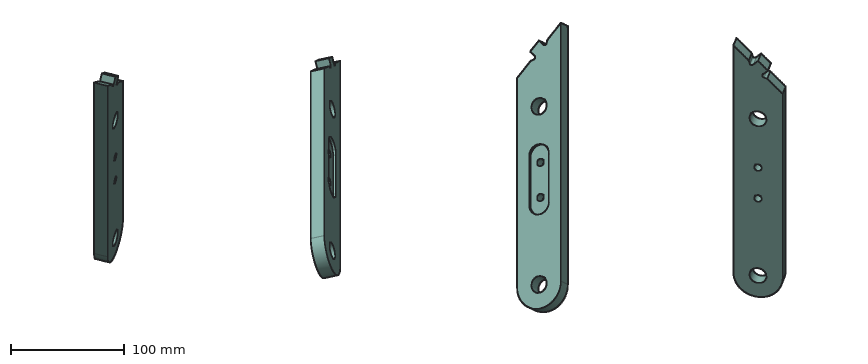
import cadquery as cq
import math

LENGTH = 257.8
WIDTH = 44.3
THICKNESS = 12.6
END_RADIUS = WIDTH / 2

MOUNT_DIAMETER = 15.2
MOUNT_SPACING = 162.5

POCKET_LENGTH = 64.2
POCKET_WIDTH = 19.9
POCKET_DEPTH = 2.5
POCKET_Z = 118.0
PIN_DIAMETER = 6.7
PIN_SPACING = 32.0

TANG_WIDTH = 12.6
TANG_HEIGHT = 6.5
UNDERCUT_RADIUS = 1.8
RAMP_ANGLE = math.radians(30)

EDGE_ANGLE = math.radians(45)
SHOULDER_Z = LENGTH - WIDTH * math.tan(EDGE_ANGLE)
EDGE_MIDDLE_Z = (LENGTH + SHOULDER_Z) / 2


def edge_point(along, out):
    """(Y, Z) at a distance along the sloped edge (uphill, toward -Y) and outward from it."""
    cosine = math.cos(EDGE_ANGLE)
    sine = math.sin(EDGE_ANGLE)
    return (-along * cosine + out * sine, EDGE_MIDDLE_Z + along * sine + out * cosine)


def make_plate():
    """Plate outline in the YZ plane, including the tang and its undercuts."""
    tang_side = TANG_WIDTH / 2
    root_centre = tang_side + UNDERCUT_RADIUS
    ramp_start = root_centre + UNDERCUT_RADIUS * math.sin(RAMP_ANGLE)
    ramp_start_out = -UNDERCUT_RADIUS * math.cos(RAMP_ANGLE)
    ramp_end = root_centre + UNDERCUT_RADIUS / math.sin(RAMP_ANGLE)
    return (
        cq.Workplane("YZ")
        .moveTo(-WIDTH / 2, END_RADIUS)
        .lineTo(-WIDTH / 2, LENGTH)
        .lineTo(*edge_point(ramp_end, 0))
        .lineTo(*edge_point(ramp_start, ramp_start_out))
        .threePointArc(edge_point(root_centre, -UNDERCUT_RADIUS), edge_point(tang_side, 0))
        .lineTo(*edge_point(tang_side, TANG_HEIGHT))
        .lineTo(*edge_point(-tang_side, TANG_HEIGHT))
        .lineTo(*edge_point(-tang_side, 0))
        .threePointArc(edge_point(-root_centre, -UNDERCUT_RADIUS), edge_point(-ramp_start, ramp_start_out))
        .lineTo(*edge_point(-ramp_end, 0))
        .lineTo(WIDTH / 2, SHOULDER_Z)
        .lineTo(WIDTH / 2, END_RADIUS)
        .threePointArc((0, 0), (-WIDTH / 2, END_RADIUS))
        .close()
        .extrude(THICKNESS)
    )


def make_holes(diameter, heights):
    """Cylinders through the thickness, on the plate centreline."""
    centres = [(0, z) for z in heights]
    return cq.Workplane("YZ").pushPoints(centres).circle(diameter / 2).extrude(THICKNESS)


def make_pocket():
    return (
        cq.Workplane("YZ")
        .center(0, POCKET_Z)
        .slot2D(POCKET_LENGTH, POCKET_WIDTH, 90)
        .extrude(POCKET_DEPTH)
    )


mount_heights = [END_RADIUS, END_RADIUS + MOUNT_SPACING]
pin_heights = [POCKET_Z - PIN_SPACING / 2, POCKET_Z + PIN_SPACING / 2]

result = (
    make_plate()
    .cut(make_pocket())
    .cut(make_holes(MOUNT_DIAMETER, mount_heights))
    .cut(make_holes(PIN_DIAMETER, pin_heights))
)